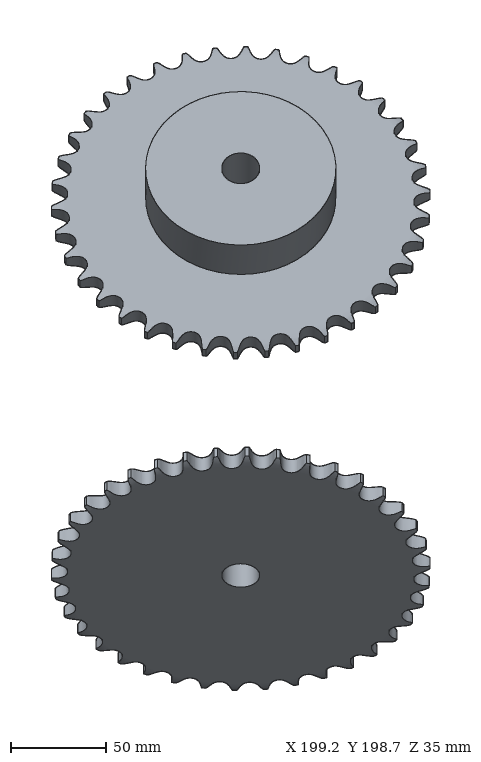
import cadquery as cq
import math

TOOTH_COUNT = 38
OUTER_RADIUS = 99.6
PLATE_THICKNESS = 9.0
TOTAL_HEIGHT = 35.0
HUB_DIAMETER = 100.0
BORE_DIAMETER = 20.0

PITCH_DIAMETER = 192.2
ROLLER_DIAMETER = 10.2
SEAT_RADIUS = 5.2
WORKING_RADIUS = 1.3 * ROLLER_DIAMETER
SEAT_HALF_ANGLE = math.radians(55 - 60 / TOOTH_COUNT)
WORKING_ANGLE = math.radians(18 - 56 / TOOTH_COUNT)
FACET_LENGTH = 1.4
TOPPING_RADIUS = 8.4

RELIEF_RADIUS = 16.0
RELIEF_DEPTH = 1.5

HALF_STEP = math.pi / TOOTH_COUNT
PITCH_RADIUS = PITCH_DIAMETER / 2


def turned(point, angle):
    """Rotate a 2D point about the sprocket axis by an angle in radians."""
    x, y = point
    c = math.cos(angle)
    s = math.sin(angle)
    return (x * c - y * s, x * s + y * c)


def mirrored(point):
    """Reflect a 2D point across the X axis."""
    return (point[0], -point[1])


def on_arc(center, radius, angle):
    """Point of an arc, with the angle measured from the inward direction (-X) towards +Y."""
    return (center[0] - radius * math.cos(angle), center[1] + radius * math.sin(angle))


def gap_side():
    """Points along the +Y side of a tooth gap centred on +X, from the seat to the tip."""
    seat_center = (PITCH_RADIUS, 0)
    seat_end = on_arc(seat_center, SEAT_RADIUS, SEAT_HALF_ANGLE)

    facet_angle = SEAT_HALF_ANGLE + WORKING_ANGLE
    working_center = on_arc(seat_center, SEAT_RADIUS - WORKING_RADIUS, SEAT_HALF_ANGLE)
    working_middle = on_arc(working_center, WORKING_RADIUS, SEAT_HALF_ANGLE + WORKING_ANGLE / 2)
    facet_start = on_arc(working_center, WORKING_RADIUS, facet_angle)
    facet_end = (
        facet_start[0] + FACET_LENGTH * math.sin(facet_angle),
        facet_start[1] + FACET_LENGTH * math.cos(facet_angle),
    )

    topping_center = on_arc(facet_end, TOPPING_RADIUS, facet_angle)
    center_distance = math.hypot(*topping_center)
    cos_tip = OUTER_RADIUS**2 + center_distance**2 - TOPPING_RADIUS**2
    cos_tip /= 2 * OUTER_RADIUS * center_distance
    tip_angle = math.atan2(topping_center[1], topping_center[0]) - math.acos(cos_tip)
    tip = turned((OUTER_RADIUS, 0), tip_angle)
    topping_end_angle = math.atan2(topping_center[1] - tip[1], tip[0] - topping_center[0])
    topping_middle = on_arc(
        topping_center,
        -TOPPING_RADIUS,
        (facet_angle + topping_end_angle) / 2,
    )
    return seat_end, working_middle, facet_start, facet_end, topping_middle, tip


def toothed_blank():
    """Plate with the full tooth outline, one tooth pointing along +X."""
    side = gap_side()
    seat_bottom = (PITCH_RADIUS - SEAT_RADIUS, 0)
    tip_middle = (OUTER_RADIUS, 0)
    outline = cq.Workplane("XY").moveTo(*turned(mirrored(side[-1]), HALF_STEP))
    for tooth in range(TOOTH_COUNT):
        gap = (2 * tooth + 1) * HALF_STEP
        next_gap = gap + 2 * HALF_STEP
        rising = [turned(point, gap) for point in side]
        falling = [turned(mirrored(point), gap) for point in side]
        seat_end, working_middle, facet_start, facet_end, topping_middle, tip = rising
        seat_start, working_in, facet_in_end, facet_in_start, topping_in, _ = falling
        outline = (
            outline
            .threePointArc(topping_in, facet_in_start)
            .lineTo(*facet_in_end)
            .threePointArc(working_in, seat_start)
            .threePointArc(turned(seat_bottom, gap), seat_end)
            .threePointArc(working_middle, facet_start)
            .lineTo(*facet_end)
            .threePointArc(topping_middle, tip)
            .threePointArc(
                turned(tip_middle, gap + HALF_STEP),
                turned(mirrored(side[-1]), next_gap),
            )
        )
    return outline.close().extrude(PLATE_THICKNESS)


def relieved_disc():
    """Disc whose rim curves in from both faces, used to thin the tooth tips."""
    relief_width = math.sqrt(RELIEF_RADIUS**2 - (RELIEF_RADIUS - RELIEF_DEPTH) ** 2)
    face_radius = OUTER_RADIUS - relief_width
    middle_angle = math.asin(relief_width / RELIEF_RADIUS) / 2
    middle_radius = face_radius + RELIEF_RADIUS * math.sin(middle_angle)
    middle_depth = RELIEF_RADIUS * (1 - math.cos(middle_angle))
    return (
        cq.Workplane("XZ")
        .lineTo(face_radius, 0)
        .threePointArc((middle_radius, middle_depth), (OUTER_RADIUS, RELIEF_DEPTH))
        .lineTo(OUTER_RADIUS, PLATE_THICKNESS - RELIEF_DEPTH)
        .threePointArc(
            (middle_radius, PLATE_THICKNESS - middle_depth),
            (face_radius, PLATE_THICKNESS),
        )
        .lineTo(0, PLATE_THICKNESS)
        .close()
        .revolve(360, (0, 0, 0), (0, 1, 0))
    )


hub = cq.Workplane("XY").circle(HUB_DIAMETER / 2).extrude(TOTAL_HEIGHT)
bore = cq.Workplane("XY").circle(BORE_DIAMETER / 2).extrude(TOTAL_HEIGHT)

result = toothed_blank().intersect(relieved_disc()).union(hub).cut(bore)